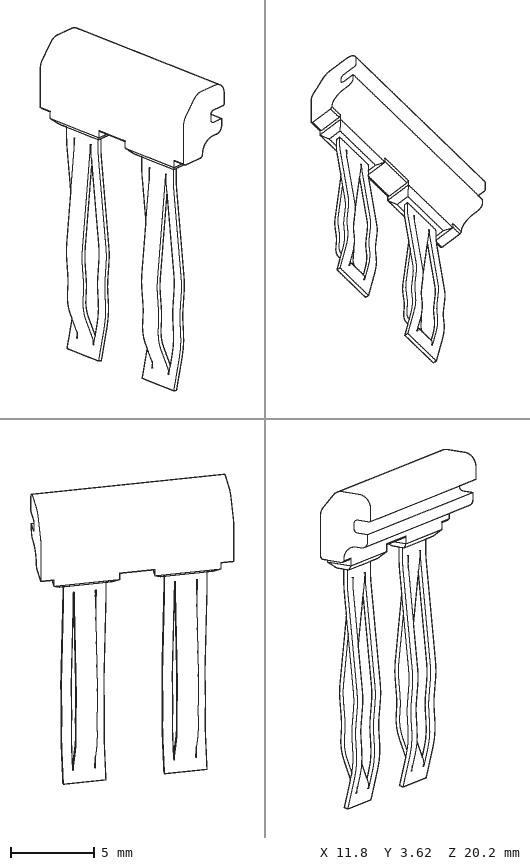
import cadquery as cq
import math


bar_length = 11.8
bar_top = 20.2
bar_bottom = 15.78
bar_back = 3.6
lip_back = 3.38
stem_depth = 1.68
slot_top = 18.6
slot_bottom = 17.78
slot_floor = 2.4
lip_bottom = 16.9
slope_depth = 1.17
slope_height = 1.41
shoulder_radius = 0.8
slope_radius = 0.8
neck_radius = 0.9
lip_radius = 0.45
slot_radius = 0.26
slot_edge_radius = 0.1
bar_bottom_chamfer = 0.12

pin_spacing = 6.18
pad_length = 4.05
pad_bottom = 15.02
pad_chamfer = 0.4

sheet = 0.26
frame_width = 2.6
window_width = 1.4
tongue_width = 1.3
bend_radius = 5.05
knee_radius = 3.03
closing_radius = 0.63
sheet_y = stem_depth / 2
bulge = 0.75
dent = 0.57
frame_knee = 0.7
tongue_knee = 0.69
root_z = 13.8
widest_z = 6.83
dent_z = 4.8
frame_knee_z = 2.8
tongue_knee_z = 3.48
tongue_lift = 0.2
tip_y = 0.87
closing_z = 1.13
window_top = 14.29
window_bottom = 0.89
tongue_overlap = 0.3


def strip(path, radii, width):
    """Bent sheet of the given width, centred on X = 0, following a (Y, Z) centreline."""
    points = [cq.Vector(0, y, z) for y, z in path]
    headings = [(end - start).normalized() for start, end in zip(points, points[1:])]

    def side_of(heading):
        return cq.Vector(0, -heading.z, heading.y) * (sheet / 2)

    bends = []
    for corner, before, after, radius in zip(points[1:], headings, headings[1:], radii):
        turn = before.getAngle(after)
        tangent = radius * math.tan(turn / 2)
        inward = (after - before).normalized()
        middle = corner + inward * (radius / math.cos(turn / 2) - radius)
        bends.append((
            (corner - before * tangent, side_of(before)),
            (middle, side_of((before + after).normalized())),
            (corner + after * tangent, side_of(after)),
        ))

    def face_point(place, sign):
        centre, side = place
        point = centre + side * sign
        return (point.y, point.z)

    first = (points[0], side_of(headings[0]))
    last = (points[-1], side_of(headings[-1]))
    outline = cq.Workplane("YZ").moveTo(*face_point(first, 1))
    for start, middle, end in bends:
        outline = outline.lineTo(*face_point(start, 1))
        outline = outline.threePointArc(face_point(middle, 1), face_point(end, 1))
    outline = outline.lineTo(*face_point(last, 1)).lineTo(*face_point(last, -1))
    for start, middle, end in reversed(bends):
        outline = outline.lineTo(*face_point(end, -1))
        outline = outline.threePointArc(face_point(middle, -1), face_point(start, -1))
    outline = outline.lineTo(*face_point(first, -1)).close()
    return outline.extrude(width / 2, both=True)


def make_bar():
    """Hook-shaped bar with a slot along its back."""
    outline = [
        (0, bar_bottom),
        (0, bar_top - slope_height),
        (slope_depth, bar_top),
        (bar_back, bar_top),
        (bar_back, slot_top),
        (slot_floor, slot_top),
        (slot_floor, slot_bottom),
        (lip_back, slot_bottom),
        (lip_back, lip_bottom),
        (stem_depth, lip_bottom),
        (stem_depth, bar_bottom),
    ]
    bar = cq.Workplane("YZ").polyline(outline).close().extrude(bar_length / 2, both=True)

    def round_edges(body, corners, radius):
        edges = [body.edges(cq.NearestToPointSelector((0, y, z))).val() for y, z in corners]
        return body.newObject(edges).fillet(radius)

    bar = round_edges(bar, [(0, bar_top - slope_height), (slope_depth, bar_top)], slope_radius)
    bar = round_edges(bar, [(bar_back, bar_top)], shoulder_radius)
    bar = round_edges(bar, [(stem_depth, lip_bottom)], neck_radius)
    bar = round_edges(bar, [(lip_back, lip_bottom)], lip_radius)
    bar = round_edges(bar, [(slot_floor, slot_top), (slot_floor, slot_bottom)], slot_radius)
    bar = round_edges(bar, [(bar_back, slot_top)], slot_edge_radius)
    return bar.faces("<Z").edges("|X").chamfer(bar_bottom_chamfer)


def make_pad():
    """Block under the bar, chamfered around its lower face."""
    pad_top = bar_bottom + bar_bottom_chamfer
    return (
        cq.Workplane("XY", origin=(0, sheet_y, pad_bottom))
        .rect(pad_length, stem_depth)
        .extrude(pad_top - pad_bottom)
        .faces("<Z")
        .edges()
        .chamfer(pad_chamfer)
    )


def make_pin():
    """Frame with its window, joined to the tongue that springs forward from it."""
    top = (sheet_y, bar_bottom)
    knee = (sheet_y + frame_knee, frame_knee_z)
    tip_angle = math.atan2(knee[0] - tip_y, frame_knee_z)
    tip = (tip_y, sheet / 2 * math.sin(tip_angle))
    frame_path = [
        top,
        (sheet_y, root_z),
        (sheet_y + bulge, widest_z),
        (sheet_y + dent, dent_z),
        knee,
        tip,
    ]
    frame = strip(frame_path, [bend_radius] * 4, frame_width)
    window_cut_depth = 4 * bulge
    window = cq.Workplane("XY", origin=(0, sheet_y, window_bottom)).box(
        window_width, window_cut_depth, window_top - window_bottom, centered=(True, True, False)
    )

    slope = (knee[0] - tip[0]) / (knee[1] - tip[1])

    def on_frame_end(z):
        return (tip[0] + slope * (z - tip[1]), z)

    tongue_path = [
        (sheet_y, window_top + tongue_overlap),
        (sheet_y, root_z + tongue_lift),
        (sheet_y - bulge, widest_z + tongue_lift),
        (sheet_y - dent, dent_z + tongue_lift),
        (sheet_y - tongue_knee, tongue_knee_z),
        on_frame_end(closing_z),
        on_frame_end(window_bottom - tongue_overlap),
    ]
    tongue = strip(tongue_path, [bend_radius] * 3 + [knee_radius, closing_radius], tongue_width)
    return frame.cut(window).union(tongue)


result = make_bar()
pin_with_pad = make_pad().union(make_pin())
for pin_x in (-pin_spacing / 2, pin_spacing / 2):
    result = result.union(pin_with_pad.translate((pin_x, 0, 0)))